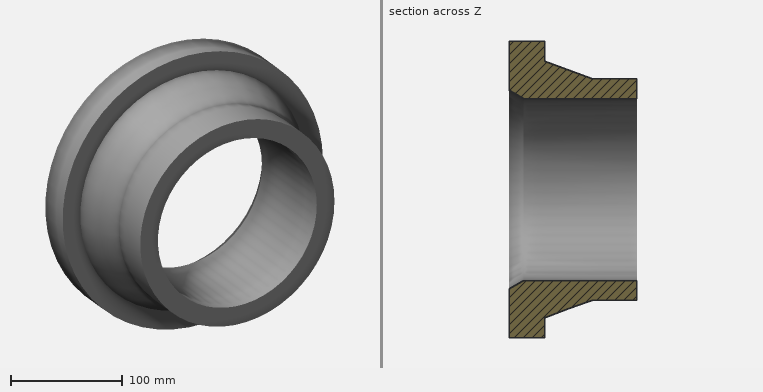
import cadquery as cq

flange_diameter = 268.0
flange_thickness = 32.2
hub_base_diameter = 231.5
spigot_diameter = 200.0
hub_end = 75.0
total_length = 115.0
bore_diameter = 163.5
bore_mouth_diameter = 178.5
bore_taper_depth = 13.0


def make_body():
    """Flange, conical hub and cylindrical spigot as one turned solid."""
    half_profile = [
        (0, 0),
        (0, flange_diameter / 2),
        (flange_thickness, flange_diameter / 2),
        (flange_thickness, hub_base_diameter / 2),
        (hub_end, spigot_diameter / 2),
        (total_length, spigot_diameter / 2),
        (total_length, 0),
    ]
    return cq.Workplane("XY").polyline(half_profile).close().revolve(360, (0, 0, 0), (1, 0, 0))


def make_bore():
    """Through bore that widens conically towards the flange face."""
    half_profile = [
        (0, 0),
        (0, bore_mouth_diameter / 2),
        (bore_taper_depth, bore_diameter / 2),
        (total_length, bore_diameter / 2),
        (total_length, 0),
    ]
    return cq.Workplane("XY").polyline(half_profile).close().revolve(360, (0, 0, 0), (1, 0, 0))


result = make_body().cut(make_bore())